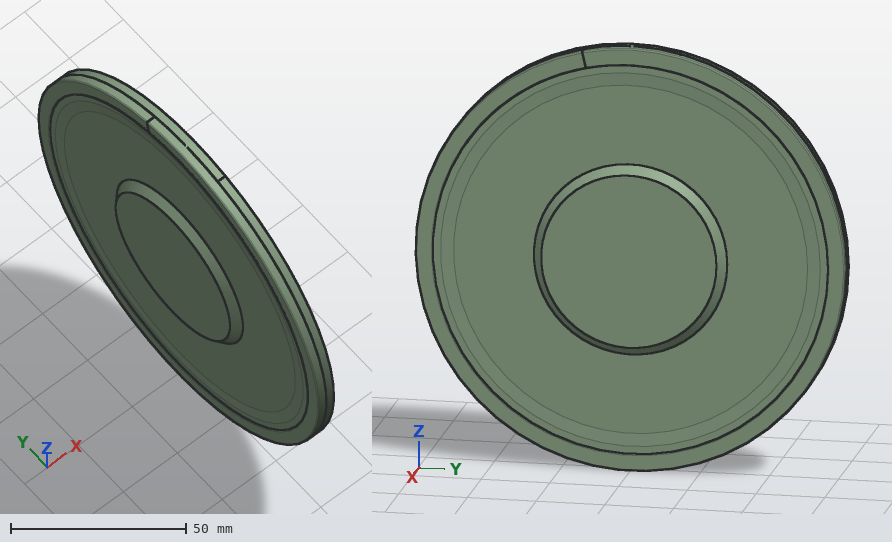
import cadquery as cq
import math

DISC_RADIUS = 57.5

RING_RADIUS = 62.5
RING_INNER_RADIUS = DISC_RADIUS
RING_HALF_WIDTH = 3.0
RING_FILLET = 0.4
COIL_GAP = 0.08
COIL_END_OFFSET = 14.0
BRIDGE_WIDTH = 1.2
CUT_MARGIN = 1.2

RIM_HALF_WIDTH = 2.6
RIM_INNER_RADIUS = 55.2
WEB_RADIUS = 51.5
WEB_HALF_WIDTH = 2.4
HUB_HALF_WIDTH = 5.0
HUB_TOP_RADIUS = 25.5
HUB_BASE_RADIUS = HUB_TOP_RADIUS + HUB_HALF_WIDTH - WEB_HALF_WIDTH


def revolve_about_x(half_profile):
    """Mirror an (x, radius) outline across x = 0 and revolve it about the X axis."""
    mirrored = [(-x, radius) for x, radius in reversed(half_profile)]
    outline = cq.Workplane("XY").polyline(half_profile + mirrored).close()
    return outline.revolve(360, (0, 0, 0), (1, 0, 0))


def make_disc():
    return revolve_about_x([
        (HUB_HALF_WIDTH, 0),
        (HUB_HALF_WIDTH, HUB_TOP_RADIUS),
        (WEB_HALF_WIDTH, HUB_BASE_RADIUS),
        (WEB_HALF_WIDTH, WEB_RADIUS),
        (RIM_HALF_WIDTH, RIM_INNER_RADIUS),
        (RIM_HALF_WIDTH, DISC_RADIUS),
    ])


def make_coil_slit():
    """Thin annular slit between the coils, interrupted by the bridge at the top."""
    slit = cq.Workplane("YZ").circle(RING_RADIUS + CUT_MARGIN).circle(RING_INNER_RADIUS - CUT_MARGIN)
    slit = slit.extrude(COIL_GAP / 2, both=True)
    bridge = cq.Workplane("XY").box(COIL_GAP, BRIDGE_WIDTH, RING_RADIUS * 2)
    bridge = bridge.translate((0, 0, RING_RADIUS))
    return slit.cut(bridge)


def make_coil_end_cut(side):
    """Radial cut that ends one coil; side is -1 for the coil at -X, +1 for the one at +X."""
    angle = math.degrees(math.asin(COIL_END_OFFSET / RING_RADIUS))
    cut = cq.Workplane("XY").box(RING_HALF_WIDTH, COIL_GAP, RING_RADIUS * 2)
    cut = cut.translate((side * RING_HALF_WIDTH / 2, 0, RING_RADIUS))
    return cut.rotate((0, 0, 0), (1, 0, 0), side * angle)


def make_ring():
    ring = revolve_about_x([
        (RING_HALF_WIDTH, RING_INNER_RADIUS),
        (RING_HALF_WIDTH, RING_RADIUS),
    ])
    ring = ring.edges("%CIRCLE").fillet(RING_FILLET)
    ring = ring.cut(make_coil_slit())
    for side in (-1, 1):
        ring = ring.cut(make_coil_end_cut(side))
    return ring


disc = make_disc()
retaining_ring = make_ring()
result = cq.Compound.makeCompound([disc.val(), *retaining_ring.solids().vals()])